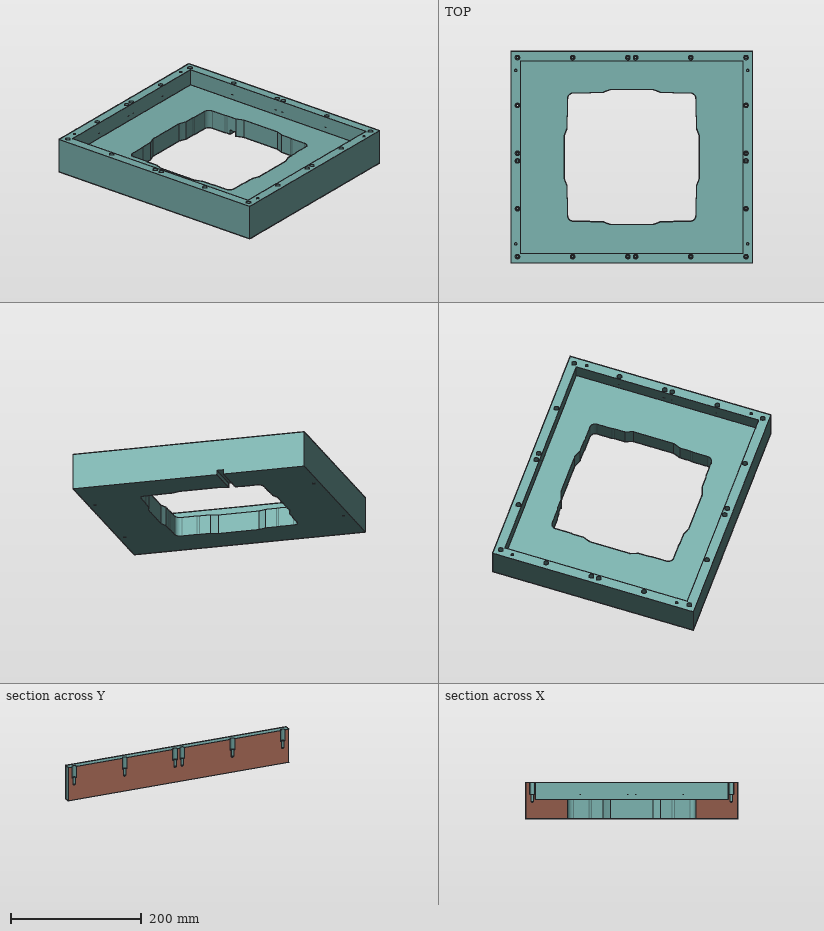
import cadquery as cq
import math

LENGTH = 370.0
WIDTH = 325.0
HEIGHT = 56.0

POCKET_LENGTH = 340.0
POCKET_WIDTH = 295.0
POCKET_DEPTH = 26.0

CORNER_REACH = 98.0
CORNER_RADIUS = 8.5
SHOULDER_REACH = 98.8
SHOULDER_FOOT = 65.0
SHOULDER_TOP = 61.8
BULGE_REACH = 103.2
BULGE_DIAMETER = 216.5

SCREW_DIAMETER = 3.5
COUNTERBORE_DIAMETER = 7.0
COUNTERBORE_DEPTH = 18.5
SCREW_HOLE_DEPTH = 29.5
SCREW_EDGE_GAP = 10.0
PAIR_HALF_GAP = 6.0

PIN_DIAMETER = 3.5
PIN_DEPTH = 18.5
PIN_X = 177.5
PIN_Y = 133.0

DRILL_TIP_ANGLE = 118

CHANNEL_LEFT = -55.5
CHANNEL_WIDTH = 10.5
CHANNEL_DEPTH = 7.0


def square(half_size):
    """Square prism centred on the part, as tall as the block."""
    return cq.Workplane("XY").rect(2 * half_size, 2 * half_size).extrude(HEIGHT)


def shoulder(angle):
    """Cutter that widens the middle of one side of the opening by a shallow step."""
    return (
        cq.Workplane("XY")
        .moveTo(-SHOULDER_FOOT, 0)
        .lineTo(-SHOULDER_FOOT, CORNER_REACH)
        .lineTo(-SHOULDER_TOP, SHOULDER_REACH)
        .lineTo(SHOULDER_TOP, SHOULDER_REACH)
        .lineTo(SHOULDER_FOOT, CORNER_REACH)
        .lineTo(SHOULDER_FOOT, 0)
        .close()
        .extrude(HEIGHT)
        .rotate((0, 0, 0), (0, 0, 1), angle)
    )


def opening():
    """Cutter for the central opening; the bulges are a disc trimmed to a square."""
    cutter = square(CORNER_REACH).edges("|Z").fillet(CORNER_RADIUS)
    for quarter in range(4):
        cutter = cutter.union(shoulder(90 * quarter))
    disc = cq.Workplane("XY").circle(BULGE_DIAMETER / 2).extrude(HEIGHT)
    return cutter.union(disc.intersect(square(BULGE_REACH)))


def pocket():
    """Cutter for the rectangular pocket."""
    return (
        cq.Workplane("XY")
        .workplane(offset=HEIGHT - POCKET_DEPTH)
        .rect(POCKET_LENGTH, POCKET_WIDTH)
        .extrude(POCKET_DEPTH)
    )


def channel():
    """Cutter for the channel in the underside."""
    return (
        cq.Workplane("XY")
        .box(CHANNEL_WIDTH, WIDTH / 2, CHANNEL_DEPTH, centered=False)
        .translate((CHANNEL_LEFT, 0, 0))
    )


def flat_holes(points, diameter, depth):
    """Cutter for straight round holes sunk from the top of the rim."""
    return (
        cq.Workplane("XY")
        .workplane(offset=HEIGHT - depth)
        .pushPoints(points)
        .circle(diameter / 2)
        .extrude(depth)
    )


def drilled_holes(points, diameter, depth):
    """Cutter for blind holes sunk from the top of the rim, ending in a drill tip."""
    radius = diameter / 2
    tip_height = radius / math.tan(math.radians(DRILL_TIP_ANGLE / 2))
    drill = (
        cq.Workplane("XZ")
        .moveTo(0, HEIGHT)
        .lineTo(radius, HEIGHT)
        .lineTo(radius, HEIGHT - depth)
        .lineTo(0, HEIGHT - depth - tip_height)
        .close()
        .revolve(360, (0, 0), (0, 1))
        .val()
    )
    return cq.Workplane("XY").pushPoints(points).eachpoint(lambda place: drill.moved(place))


def mirrored(points):
    """The given first-quadrant points, repeated in all four quadrants."""
    return [(sx * x, sy * y) for x, y in points for sx in (-1, 1) for sy in (-1, 1)]


screw_x = LENGTH / 2 - SCREW_EDGE_GAP
screw_y = WIDTH / 2 - SCREW_EDGE_GAP
middle_x = (screw_x + PAIR_HALF_GAP) / 2
middle_y = (screw_y + PAIR_HALF_GAP) / 2
blind_points = mirrored(
    [
        (screw_x, screw_y),
        (middle_x, screw_y),
        (PAIR_HALF_GAP, screw_y),
        (screw_x, PAIR_HALF_GAP),
    ]
)
through_points = mirrored([(screw_x, middle_y)])
pin_points = mirrored([(PIN_X, PIN_Y)])

block = cq.Workplane("XY").box(LENGTH, WIDTH, HEIGHT, centered=(True, True, False))

result = (
    block.cut(pocket())
    .cut(opening())
    .cut(channel())
    .cut(flat_holes(blind_points + through_points, COUNTERBORE_DIAMETER, COUNTERBORE_DEPTH))
    .cut(flat_holes(through_points, SCREW_DIAMETER, HEIGHT))
    .cut(drilled_holes(blind_points, SCREW_DIAMETER, SCREW_HOLE_DEPTH))
    .cut(drilled_holes(pin_points, PIN_DIAMETER, PIN_DEPTH))
)